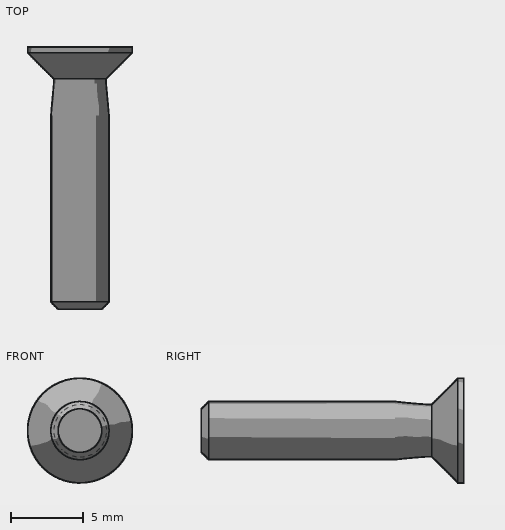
import cadquery as cq

length = 18.0
head_diameter = 7.2
neck_diameter = 3.6
shank_diameter = 4.0
rim_height = 0.4
neck_length = 0.3
taper_length = 2.2
tip_chamfer = 0.5

head_radius = head_diameter / 2
neck_radius = neck_diameter / 2
shank_radius = shank_diameter / 2

rim_y = length - rim_height
neck_top_y = rim_y - (head_radius - neck_radius)
neck_bottom_y = neck_top_y - neck_length
shank_top_y = neck_bottom_y - taper_length

half_profile = (
    cq.Workplane("XY")
    .moveTo(0, 0)
    .lineTo(shank_radius - tip_chamfer, 0)
    .lineTo(shank_radius, tip_chamfer)
    .lineTo(shank_radius, shank_top_y)
    .lineTo(neck_radius, neck_bottom_y)
    .lineTo(neck_radius, neck_top_y)
    .lineTo(head_radius, rim_y)
    .lineTo(head_radius, length)
    .lineTo(0, length)
    .close()
)

result = half_profile.revolve(360, (0, 0, 0), (0, 1, 0))